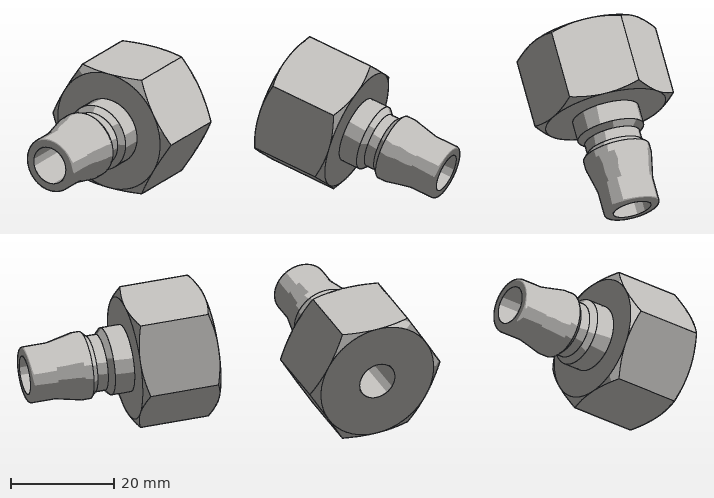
import cadquery as cq
import math

across_flats = 24.0
across_corners = across_flats / math.cos(math.radians(30))
total_length = 36.0
stem_length = 20.2
hex_length = total_length - stem_length
hex_chamfer_angle = 30.0

bore_diameter = 7.5
collar_radius = 13.2 / 2
neck_radius = 11.0 / 2
shoulder_depth = collar_radius - neck_radius
collar_length = 3.9
groove_floor_length = 2.1
land_length = 1.6
taper_length = 5.2
tip_fillet = 0.5

collar_end = -collar_length
groove_start = collar_end - shoulder_depth
groove_end = groove_start - groove_floor_length
land_start = groove_end - shoulder_depth
land_end = land_start - land_length
taper_end = land_end - taper_length


def revolve_about_y(profile):
    """Turn a closed (radius, Y) profile around the Y axis."""
    return profile.close().revolve(360, (0, 0, 0), (0, 1, 0))


def make_hexagon():
    """Hexagonal prism with both ends turned down to the across-flats circle."""
    prism = (
        cq.Workplane("XZ")
        .polygon(6, across_corners)
        .extrude(-hex_length)
    )
    flat_radius = across_flats / 2
    corner_radius = across_corners / 2
    chamfer_depth = (corner_radius - flat_radius) * math.tan(math.radians(hex_chamfer_angle))
    envelope = revolve_about_y(
        cq.Workplane("XY")
        .lineTo(flat_radius, 0)
        .lineTo(corner_radius, chamfer_depth)
        .lineTo(corner_radius, hex_length - chamfer_depth)
        .lineTo(flat_radius, hex_length)
        .lineTo(0, hex_length)
    )
    return prism.intersect(envelope)


def make_stem():
    """Plug stem: collar, locking groove, land, taper and round-edged tip."""
    stem = revolve_about_y(
        cq.Workplane("XY")
        .lineTo(collar_radius, 0)
        .lineTo(collar_radius, collar_end)
        .lineTo(neck_radius, groove_start)
        .lineTo(neck_radius, groove_end)
        .lineTo(collar_radius, land_start)
        .lineTo(collar_radius, land_end)
        .lineTo(neck_radius, taper_end)
        .lineTo(neck_radius, -stem_length)
        .lineTo(0, -stem_length)
    )
    return stem.faces("<Y").edges().fillet(tip_fillet)


def make_bore():
    """Through bore running the full length of the part."""
    return (
        cq.Workplane("XZ", origin=(0, hex_length, 0))
        .circle(bore_diameter / 2)
        .extrude(total_length)
    )


result = make_hexagon().union(make_stem()).cut(make_bore())